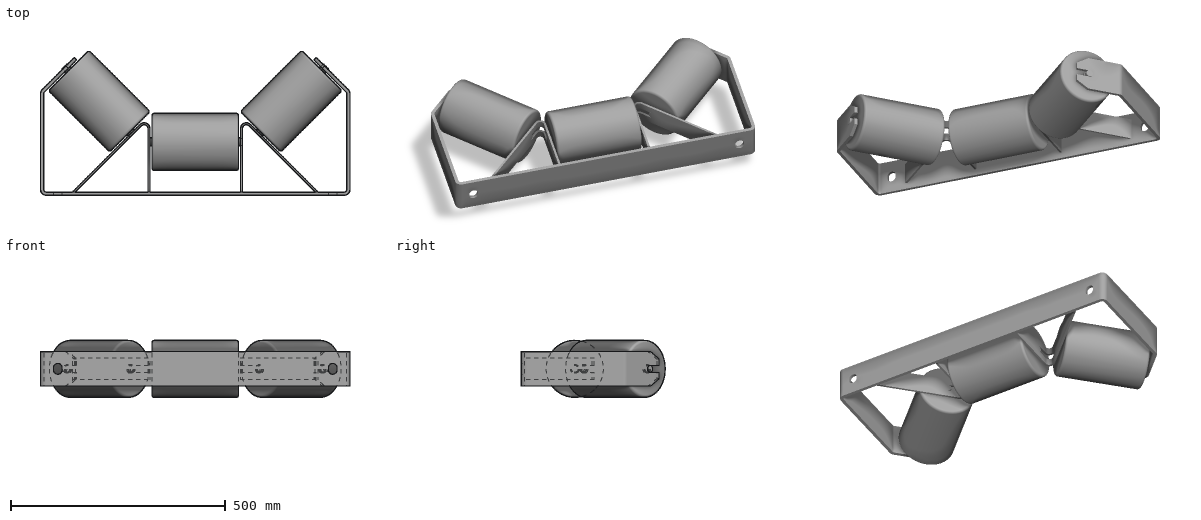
import cadquery as cq
import math

frame_length = 720.0
frame_height = 80.0
frame_thickness = 8.0
frame_bend_radius = 14.0
arm_past_axle = 31.0
tip_chamfer_along = 28.0
tip_chamfer_across = 17.0

mount_spacing = 639.0
mount_width = 20.0
mount_height = 25.0

roller_diameter = 133.0
roller_length = 201.5
roller_fillet = 6.0
support_spacing = 210.0
shoulder_diameter = 20.0
axle_diameter = 16.0
axle_past_arm = 1.5
centre_roller_y = 124.5

bracket_height = 50.0
bracket_thickness = 5.0
bracket_bend_radius = 14.0
bracket_bend_y = 155.5
outer_axle_drop = 29.0
axle_slot_length = 50.5

diagonal = math.sqrt(0.5)
bracket_bend_x = -support_spacing / 2 - bracket_bend_radius
bend_to_roller = bracket_bend_radius + support_spacing / 2
outer_roller_x = bracket_bend_x - (bend_to_roller + outer_axle_drop) * diagonal
outer_roller_y = bracket_bend_y + (bend_to_roller - outer_axle_drop) * diagonal


def roller_plane(x, y, direction):
    """Plane centred on a roller: local X is the roller axis, local Y the slot opening."""
    return cq.Plane(origin=(x, y, 0), xDir=direction, normal=(0, 0, 1))


left_plane = roller_plane(outer_roller_x, outer_roller_y, (1, -1, 0))
centre_plane = roller_plane(0, centre_roller_y, (1, 0, 0))
right_plane = roller_plane(-outer_roller_x, outer_roller_y, (1, 1, 0))
roller_planes = [left_plane, centre_plane, right_plane]


def cylinder_along_axis(diameter, start, end):
    return cq.Workplane("YZ", origin=(start, 0, 0)).circle(diameter / 2).extrude(end - start)


def centred_cylinder(diameter, length):
    return cylinder_along_axis(diameter, -length / 2, length / 2)


def make_roller(plane, left_reach, right_reach):
    """Roller drum, shoulders and axle; the reaches are the axle lengths beyond the shoulders."""
    drum = centred_cylinder(roller_diameter, roller_length).edges().fillet(roller_fillet)
    shoulders = centred_cylinder(shoulder_diameter, support_spacing)
    shoulder_end = support_spacing / 2
    axle = cylinder_along_axis(axle_diameter, -shoulder_end - left_reach, shoulder_end + right_reach)
    return drum.union(shoulders).union(axle).val().moved(cq.Location(plane))


def cut_axle_slots(body):
    """Open, round-bottomed slots that the axles drop into."""
    depth = 2 * bend_to_roller
    bottom = centred_cylinder(axle_diameter, depth)
    opening = cq.Workplane("XY").box(depth, axle_slot_length, axle_diameter, centered=(True, False, True))
    cutter = bottom.union(opening).val()
    for plane in roller_planes:
        body = body.cut(cq.Workplane(cutter.moved(cq.Location(plane))))
    return body


def bent_bar(path, thickness, height, bend_radius):
    """Flat bar on edge, following a centreline path with rounded corners."""
    corners = [cq.Vector(x, y, 0) for x, y in path]
    wire = cq.Wire.makePolygon(corners).fillet(bend_radius - thickness / 2)
    start = cq.Plane(origin=corners[0], xDir=(0, 0, 1), normal=corners[1] - corners[0])
    return cq.Workplane(start).rect(height, thickness).sweep(cq.Workplane(wire))


def cut_arm_corners(frame):
    """Bevel the upper and lower corner of each arm tip."""
    corner_z = frame_height / 2
    corner = [
        (arm_past_axle, corner_z),
        (arm_past_axle - tip_chamfer_along, corner_z),
        (arm_past_axle, corner_z - tip_chamfer_across),
    ]
    upper = cq.Workplane("YZ").polyline(corner).close().extrude(bend_to_roller, both=True)
    cutter = upper.union(upper.mirror("XY")).val()
    for plane in (left_plane, right_plane):
        frame = frame.cut(cq.Workplane(cutter.moved(cq.Location(plane))))
    return frame


def make_frame():
    """Base bar, two uprights and two arms leaning in at 45 degrees."""
    arm_centre = support_spacing / 2 + frame_thickness / 2
    tip = left_plane.toWorldCoords((-arm_centre, arm_past_axle))
    upright_x = -frame_length / 2 + frame_thickness / 2
    shoulder_y = tip.y - (tip.x - upright_x)
    left_path = [(tip.x, tip.y), (upright_x, shoulder_y), (upright_x, frame_thickness / 2)]
    right_path = [(-x, y) for x, y in reversed(left_path)]
    frame = bent_bar(left_path + right_path, frame_thickness, frame_height, frame_bend_radius)
    mounts = (
        cq.Workplane("XZ")
        .rarray(mount_spacing, 7, 2, 1)
        .slot2D(mount_height, mount_width, 90)
        .extrude(-frame_thickness)
    )
    return cut_axle_slots(cut_arm_corners(frame.cut(mounts)))


def make_left_bracket():
    """Folded bar standing on the base, its slanted foot trimmed flush with the base."""
    leg_centre = support_spacing / 2 + bracket_thickness / 2
    on_slant = left_plane.toWorldCoords((leg_centre, 0))
    fold_y = on_slant.y - leg_centre - on_slant.x
    foot_x = on_slant.x - on_slant.y
    path = [(foot_x, 0), (-leg_centre, fold_y), (-leg_centre, 0)]
    bracket = bent_bar(path, bracket_thickness, bracket_height, bracket_bend_radius)
    below_base_top = cq.Workplane("XY").box(2 * frame_length, 2 * frame_thickness, 2 * frame_height)
    return cut_axle_slots(bracket.cut(below_base_top))


frame = make_frame()
left_bracket = make_left_bracket()
brackets = [left_bracket.val(), left_bracket.mirror("YZ").val()]
arm_reach = frame_thickness + axle_past_arm
bracket_reach = bracket_thickness
rollers = [
    make_roller(left_plane, arm_reach, bracket_reach),
    make_roller(centre_plane, bracket_reach, bracket_reach),
    make_roller(right_plane, bracket_reach, arm_reach),
]

result = cq.Compound.makeCompound([frame.val(), *brackets, *rollers])